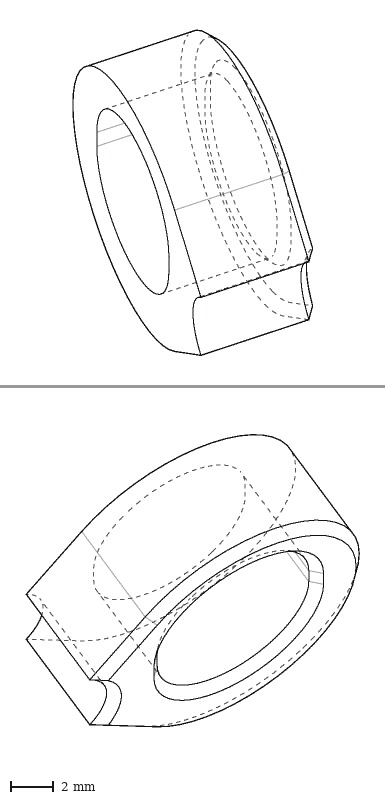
import cadquery as cq
import math

outer_radius = 7.0
thickness = 6.0
chamfer_size = 0.5

bore_radius = 4.2
bore_shift = 1.0

tangent_angle = math.radians(46.0)

notch_radius = 2.75
notch_center_x = outer_radius + notch_radius

tangent_x = outer_radius * math.cos(tangent_angle)
tangent_z = outer_radius * math.sin(tangent_angle)
apex_x = outer_radius / math.cos(tangent_angle)


def extrude_along_y(outline):
    """Extrude an XZ outline from Y = 0 to Y = thickness."""
    return outline.extrude(-thickness)


def make_body():
    """Ring outline and wedge in one piece, cut by the notch."""
    body = extrude_along_y(
        cq.Workplane("XZ")
        .moveTo(tangent_x, tangent_z)
        .threePointArc((-outer_radius, 0), (tangent_x, -tangent_z))
        .lineTo(apex_x, 0)
        .close()
    )
    notch = extrude_along_y(cq.Workplane("XZ").center(notch_center_x, 0).circle(notch_radius))
    return body.cut(notch)


def make_bore():
    """Through bore with semicircular ends and short straight sides."""
    slot_length = bore_shift + 2 * bore_radius
    return extrude_along_y(
        cq.Workplane("XZ")
        .center(0, bore_shift / 2)
        .slot2D(slot_length, 2 * bore_radius, 90)
    )


result = make_body().cut(make_bore()).faces(">Y").edges().chamfer(chamfer_size)